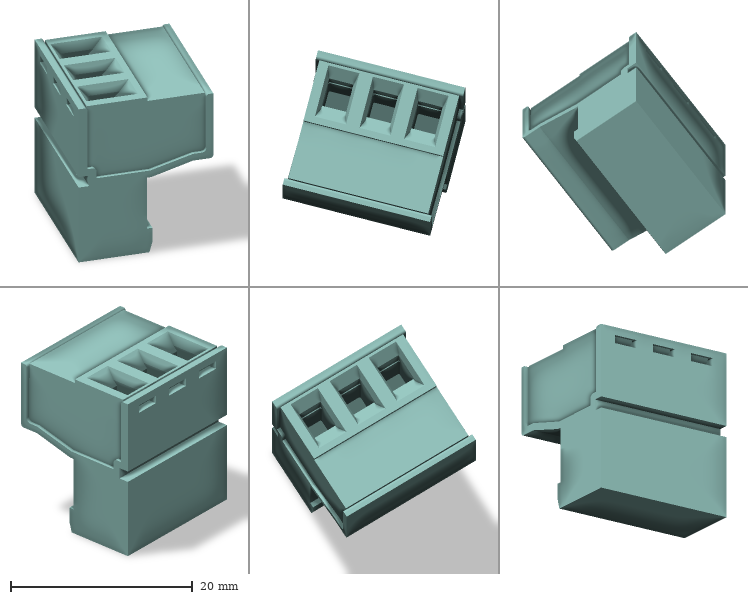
import cadquery as cq


WIDTH = 16.75
DEPTH = 15.5
HEIGHT = 19.2

FRONT_WALL = 1.0
REAR_WALL = 0.8
REAR_TOP = 18.75
RIM_RADIUS = 0.3
SHELF_Z = 10.7
PLUG_TOP = 9.39
SHELF_END_Y = 13.15
SLOPE_END_Y = 8.37
SHELF_CORNER_RADIUS = 0.38
FLOOR_THICKNESS = 0.85
NOTCH_DEPTH = 1.2

PLUG_REAR_Y = 7.9
LUG_REACH = 0.6
LUG_TOP = 3.01
LUG_TAPER_TOP = 1.27
LUG_TAPER = 0.35

CAVITY_FLOOR = SHELF_Z + FLOOR_THICKNESS
CAVITY_LOW_FLOOR = PLUG_TOP + FLOOR_THICKNESS
CAVITY_REAR_Y = DEPTH - REAR_WALL
CAVITY_SLOPE_END_Y = 8.22
CAVITY_STEP_Y = 2.07
CAVITY_RADIUS = 0.5

INSERT_INSET = 0.42
INSERT_WIDTH = WIDTH - 2 * INSERT_INSET
INSERT_STEP_Y = 8.05
CLEARANCE = 0.05
REAR_GAP_BOTTOM = 16.95

POLE_COUNT = 3
PITCH = 5.07

MOUTH_WIDTH = 3.53
MOUTH_FRONT_Y = 1.36
MOUTH_REAR_Y = 7.3
THROAT_WIDTH = 2.76
THROAT_FRONT_Y = 2.53
THROAT_REAR_Y = 5.59
THROAT_DEPTH = THROAT_FRONT_Y - MOUTH_FRONT_Y
REAR_SLOPE_DEPTH = MOUTH_REAR_Y - THROAT_REAR_Y
SHAFT_LEDGE_DEPTH = 3.07
SHAFT_LEDGE = 0.12
SHAFT_CORNER_RADIUS = 0.2
SHAFT_FLOOR = CAVITY_FLOOR

WINDOW_WIDTH = 2.86
WINDOW_BOTTOM = 17.32
WINDOW_TOP = 18.25
NUB_WIDTH = 2.23
NUB_BOTTOM = 17.4
NUB_REACH = 0.65


def nearest_edge(y, z):
    """Selector for the edge along X at the given Y and Z."""
    return cq.selectors.NearestToPointSelector((0, y, z))


def extrude_along_x(profile, width):
    """Extrude a closed Y-Z profile symmetrically about X = 0."""
    return profile.close().extrude(width / 2, both=True)


def pole_positions():
    middle = (POLE_COUNT - 1) / 2
    return [(index - middle) * PITCH for index in range(POLE_COUNT)]


def cavity_block():
    """Fill of the cavity up to the top of the housing, across the full width."""
    block = extrude_along_x(
        cq.Workplane("YZ").polyline([
            (FRONT_WALL, HEIGHT),
            (FRONT_WALL, CAVITY_FLOOR),
            (CAVITY_STEP_Y, CAVITY_FLOOR),
            (CAVITY_STEP_Y, CAVITY_LOW_FLOOR),
            (CAVITY_SLOPE_END_Y, CAVITY_LOW_FLOOR),
            (SHELF_END_Y, CAVITY_FLOOR),
            (CAVITY_REAR_Y, CAVITY_FLOOR),
            (CAVITY_REAR_Y, HEIGHT),
        ]),
        WIDTH,
    )
    step_edge = nearest_edge(CAVITY_STEP_Y, CAVITY_FLOOR)
    rear_edge = nearest_edge(CAVITY_REAR_Y, CAVITY_FLOOR)
    return block.edges(step_edge).fillet(CAVITY_RADIUS).edges(rear_edge).fillet(CAVITY_RADIUS)


def housing(cavity):
    lug_y = PLUG_REAR_Y + LUG_REACH
    block = extrude_along_x(
        cq.Workplane("YZ").polyline([
            (0, 0),
            (0, PLUG_TOP),
            (NOTCH_DEPTH, PLUG_TOP),
            (NOTCH_DEPTH, SHELF_Z),
            (0, SHELF_Z),
            (0, HEIGHT),
            (INSERT_STEP_Y, HEIGHT),
            (INSERT_STEP_Y, REAR_TOP),
            (DEPTH, REAR_TOP),
            (DEPTH, SHELF_Z),
            (SHELF_END_Y, SHELF_Z),
            (SLOPE_END_Y, PLUG_TOP),
            (PLUG_REAR_Y, PLUG_TOP),
            (PLUG_REAR_Y, LUG_TOP),
            (lug_y, LUG_TOP),
            (lug_y, LUG_TAPER_TOP),
            (lug_y - LUG_TAPER, 0),
        ]),
        WIDTH,
    )
    shelf_corner = nearest_edge(DEPTH, SHELF_Z)
    shell = block.edges(shelf_corner).fillet(SHELF_CORNER_RADIUS).cut(cavity)
    front_rim = nearest_edge(FRONT_WALL, HEIGHT)
    rear_rim = nearest_edge(CAVITY_REAR_Y, REAR_TOP)
    return shell.edges(front_rim).fillet(RIM_RADIUS).edges(rear_rim).fillet(RIM_RADIUS)


def insert(cavity):
    envelope = extrude_along_x(
        cq.Workplane("YZ").polyline([
            (0, 0),
            (0, WINDOW_TOP),
            (FRONT_WALL + CLEARANCE, WINDOW_TOP),
            (FRONT_WALL + CLEARANCE, HEIGHT),
            (INSERT_STEP_Y, HEIGHT),
            (INSERT_STEP_Y, REAR_TOP),
            (CAVITY_REAR_Y - CLEARANCE, REAR_TOP),
            (CAVITY_REAR_Y - CLEARANCE, REAR_GAP_BOTTOM),
            (DEPTH, REAR_GAP_BOTTOM),
            (DEPTH, 0),
        ]),
        INSERT_WIDTH,
    )
    return cavity.intersect(envelope)


def funnel():
    """Wire entry at X = 0: where a side profile and a cross profile overlap."""
    throat_z = HEIGHT - THROAT_DEPTH
    ledge_z = HEIGHT - SHAFT_LEDGE_DEPTH
    side_profile = extrude_along_x(
        cq.Workplane("YZ").polyline([
            (MOUTH_FRONT_Y, HEIGHT),
            (THROAT_FRONT_Y, throat_z),
            (THROAT_FRONT_Y, ledge_z),
            (THROAT_REAR_Y, ledge_z),
            (THROAT_REAR_Y, HEIGHT - REAR_SLOPE_DEPTH),
            (MOUTH_REAR_Y, HEIGHT),
        ]),
        MOUTH_WIDTH,
    )
    cross_profile = (
        cq.Workplane("XZ")
        .polyline([
            (-MOUTH_WIDTH / 2, HEIGHT),
            (-THROAT_WIDTH / 2, throat_z),
            (-THROAT_WIDTH / 2, ledge_z),
            (THROAT_WIDTH / 2, ledge_z),
            (THROAT_WIDTH / 2, throat_z),
            (MOUTH_WIDTH / 2, HEIGHT),
        ])
        .close()
        .extrude(-DEPTH)
    )
    shaft_front_y = THROAT_FRONT_Y + SHAFT_LEDGE
    shaft_depth = THROAT_REAR_Y - shaft_front_y
    shaft = (
        cq.Workplane("XY")
        .box(THROAT_WIDTH, shaft_depth, ledge_z - SHAFT_FLOOR, centered=(True, False, False))
        .edges("|Z and <Y")
        .fillet(SHAFT_CORNER_RADIUS)
        .translate((0, shaft_front_y, SHAFT_FLOOR))
    )
    return side_profile.intersect(cross_profile).union(shaft)


def window():
    return (
        cq.Workplane("XY")
        .box(WINDOW_WIDTH, FRONT_WALL, WINDOW_TOP - WINDOW_BOTTOM, centered=(True, False, False))
        .translate((0, 0, WINDOW_BOTTOM))
    )


def latch_nub():
    """Wedge on the insert, flat on top and ramped underneath."""
    return extrude_along_x(
        cq.Workplane("YZ").polyline([
            (FRONT_WALL, NUB_BOTTOM),
            (FRONT_WALL, WINDOW_TOP),
            (FRONT_WALL - NUB_REACH, WINDOW_TOP),
        ]),
        NUB_WIDTH,
    )


cavity = cavity_block()
result = housing(cavity).union(insert(cavity))
for x in pole_positions():
    result = result.cut(funnel().translate((x, 0, 0)))
    result = result.cut(window().translate((x, 0, 0)))
    result = result.union(latch_nub().translate((x, 0, 0)))